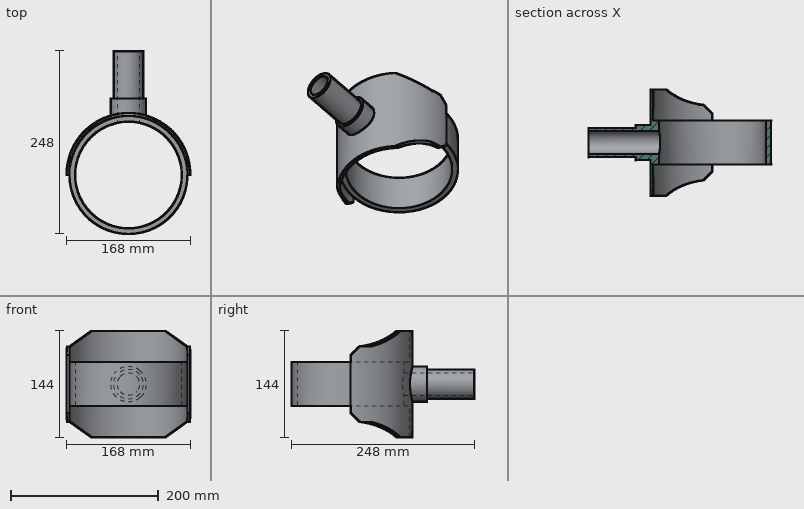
import cadquery as cq

ring_radius = 80.0
ring_wall = 8.0
ring_height = 60.0

saddle_radius = 84.0
saddle_height = 144.0
saddle_top_width = 100.2
shoulder_width = 158.7
shoulder_height = 102.2
end_chamfer = 12.0

overall_length = 248.0
stem_tip = overall_length - ring_radius
stem_radius = 20.0
stem_length = 64.0
collar_radius = 24.0
collar_end = stem_tip - stem_length
bore_radius = 15.1

ring_bore_radius = ring_radius - ring_wall


def y_cylinder(radius, end):
    """Solid cylinder along +Y from the ring axis to the given end."""
    return cq.Workplane("XZ").circle(radius).extrude(-end)


def z_cylinder(radius, height):
    """Solid cylinder along Z, centred on the origin."""
    return cq.Workplane("XY").workplane(offset=-height / 2).circle(radius).extrude(height)


def make_saddle():
    half_top = saddle_top_width / 2
    half_shoulder = shoulder_width / 2
    half_height = saddle_height / 2
    half_shoulder_height = shoulder_height / 2

    shell = z_cylinder(saddle_radius, saddle_height).cut(z_cylinder(ring_radius, saddle_height))
    front_outline = (
        cq.Workplane("XZ")
        .moveTo(-half_top, half_height)
        .lineTo(half_top, half_height)
        .lineTo(half_shoulder, half_shoulder_height)
        .lineTo(saddle_radius, half_shoulder_height)
        .lineTo(saddle_radius, -half_shoulder_height)
        .lineTo(half_shoulder, -half_shoulder_height)
        .lineTo(half_top, -half_height)
        .lineTo(-half_top, -half_height)
        .lineTo(-half_shoulder, -half_shoulder_height)
        .lineTo(-saddle_radius, -half_shoulder_height)
        .lineTo(-saddle_radius, half_shoulder_height)
        .lineTo(-half_shoulder, half_shoulder_height)
        .close()
        .extrude(-saddle_radius)
    )
    half_end_height = half_shoulder_height - end_chamfer
    side_outline = (
        cq.Workplane("YZ")
        .moveTo(0, -half_end_height)
        .lineTo(end_chamfer, -half_shoulder_height)
        .lineTo(end_chamfer, -half_height)
        .lineTo(saddle_radius, -half_height)
        .lineTo(saddle_radius, half_height)
        .lineTo(end_chamfer, half_height)
        .lineTo(end_chamfer, half_shoulder_height)
        .lineTo(0, half_end_height)
        .close()
        .extrude(saddle_radius, both=True)
    )
    return shell.intersect(front_outline).intersect(side_outline)


def make_stem():
    return y_cylinder(stem_radius, stem_tip).union(y_cylinder(collar_radius, collar_end))


ring = z_cylinder(ring_radius, ring_height)
ring_bore = z_cylinder(ring_bore_radius, saddle_height)
stem_bore = y_cylinder(bore_radius, stem_tip)

result = ring.union(make_saddle()).union(make_stem()).cut(ring_bore).cut(stem_bore)